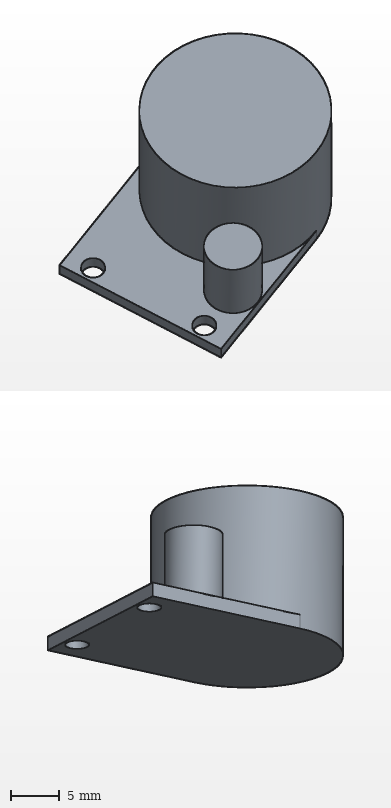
import cadquery as cq

overall_length = 27.95
overall_height = 15.05
body_diameter = 19.8
plate_thickness = 1.5
pin_diameter = 6.0
pin_top = 9.0
pin_from_front = 7.05
hole_diameter = 2.5
hole_from_front = 1.6
side_offset = 6.82

plate_width = body_diameter
plate_length = overall_length - body_diameter / 2
front_edge = -plate_length


def upright_cylinder(diameter, height, x, y):
    """Cylinder standing on the bottom plane."""
    return cq.Workplane("XY").center(x, y).circle(diameter / 2).extrude(height)


plate = (
    cq.Workplane("XY")
    .center(0, front_edge / 2)
    .rect(plate_width, plate_length)
    .extrude(plate_thickness)
)
body = upright_cylinder(body_diameter, overall_height, 0, 0)
pin = upright_cylinder(pin_diameter, pin_top, side_offset, front_edge + pin_from_front)

result = plate.union(body).union(pin)

for hole_x in (-side_offset, side_offset):
    hole = upright_cylinder(hole_diameter, plate_thickness, hole_x, front_edge + hole_from_front)
    result = result.cut(hole)